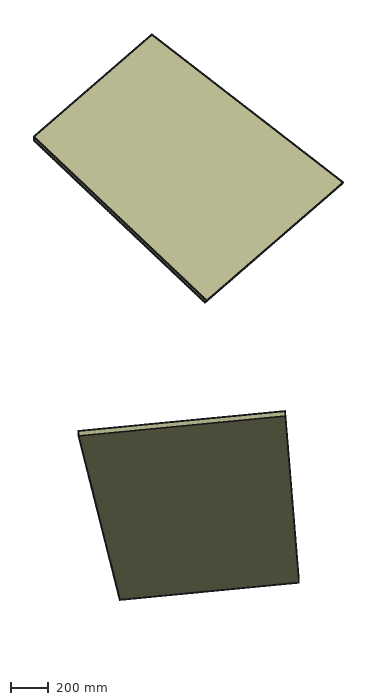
import cadquery as cq
import math

PANELS_PER_TURN = 54
INNER_RADIUS = 8198.96
OUTER_RADIUS = 9474.71
FALL = 302.05
THICKNESS = 30.0

sector_angle = 360.0 / PANELS_PER_TURN
panel_direction = sector_angle
slope = math.atan(FALL / (OUTER_RADIUS - INNER_RADIUS))
lower_cut_tilt = 2 * slope


def panel_profile():
    """Radial section: plumb-cut upper end and mitred lower end."""
    plumb_height = THICKNESS / math.cos(slope)
    mitre_height = plumb_height / (1 + math.tan(lower_cut_tilt) * math.tan(slope))
    mitre_setback = mitre_height * math.tan(lower_cut_tilt)
    return (
        cq.Workplane("XZ")
        .moveTo(INNER_RADIUS, 0)
        .lineTo(OUTER_RADIUS, -FALL)
        .lineTo(OUTER_RADIUS - mitre_setback, -FALL - mitre_height)
        .lineTo(INNER_RADIUS, -plumb_height)
        .close()
    )


def sector_wedge():
    """Vertical wedge from the ring axis, bounded by the two radial side planes."""
    reach = OUTER_RADIUS + THICKNESS
    half_width = reach * math.tan(math.radians(sector_angle / 2))
    depth = FALL + 2 * THICKNESS
    return (
        cq.Workplane("XY")
        .polyline([(0, 0), (reach, -half_width), (reach, half_width)])
        .close()
        .extrude(depth, both=True)
    )


blank = panel_profile().extrude(OUTER_RADIUS, both=True)
panel = blank.intersect(sector_wedge())
result = panel.rotate((0, 0, 0), (0, 0, 1), panel_direction)